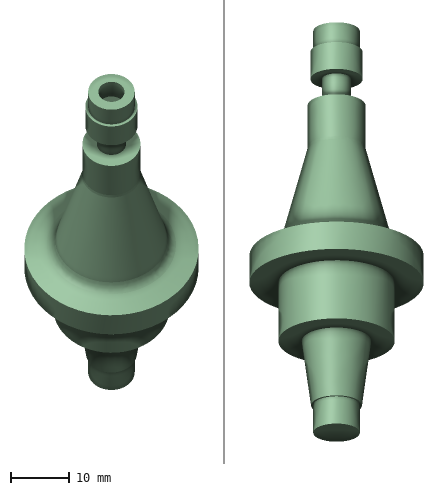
import cadquery as cq
import math

tail_d = 8.0
taper_small_d = 8.8
taper_large_d = 12
body_d = 20.0
flange_d = 30
sleeve_d = 10.0
neck_d = 5.0
collar_d = 9
head_d = 8.0

total_height = 75
tail_height = 5.1
taper_height = 12
body_height = 10.9
flange_height = 5.1
sleeve_height = 8.1
neck_height = 4.95
collar_height = 5.0
head_height = 3.9

slope_angle = 15
blend_radius = 2.0

bore_d = 4.5
bore_depth = head_height

taper_bottom = tail_height
body_bottom = taper_bottom + taper_height
flange_bottom = body_bottom + body_height
flange_edge = flange_bottom + flange_height
head_bottom = total_height - head_height
collar_bottom = head_bottom - collar_height
sleeve_top = collar_bottom - neck_height
sleeve_bottom = sleeve_top - sleeve_height

slope = math.tan(math.radians(slope_angle))
flange_r = flange_d / 2
sleeve_r = sleeve_d / 2
cone_rise = sleeve_bottom - flange_edge
cone_foot_r = (sleeve_r + slope * (cone_rise - slope * flange_r)) / (1 - slope**2)
cone_foot = flange_edge + slope * (flange_r - cone_foot_r)


def make_turned_body():
    """Revolve the half outline about the Z axis."""
    outline = [
        (0, 0),
        (tail_d / 2, 0),
        (tail_d / 2, taper_bottom),
        (taper_small_d / 2, taper_bottom),
        (taper_large_d / 2, body_bottom),
        (body_d / 2, body_bottom),
        (body_d / 2, flange_bottom),
        (flange_r, flange_bottom),
        (flange_r, flange_edge),
        (cone_foot_r, cone_foot),
        (sleeve_r, sleeve_bottom),
        (sleeve_r, sleeve_top),
        (neck_d / 2, sleeve_top),
        (neck_d / 2, collar_bottom),
        (collar_d / 2, collar_bottom),
        (collar_d / 2, head_bottom),
        (head_d / 2, head_bottom),
        (head_d / 2, total_height),
        (0, total_height),
    ]
    return cq.Workplane("XZ").polyline(outline).close().revolve(360, (0, 0), (0, 1))


def circle_edge(radius, level):
    """Select the circular edge of the given radius at the given level."""
    tolerance = 0.01
    reach = radius + tolerance
    return cq.selectors.BoxSelector(
        (-reach, -reach, level - tolerance),
        (reach, reach, level + tolerance),
        boundingbox=True,
    )


def blend_cone(body):
    """Round the cone into the flange top and into the sleeve."""
    body = body.edges(circle_edge(cone_foot_r, cone_foot)).fillet(blend_radius)
    return body.edges(circle_edge(sleeve_r, sleeve_bottom)).fillet(blend_radius)


def cut_bore(body):
    """Cut the blind bore down from the top face."""
    bore = cq.Workplane("XY", origin=(0, 0, total_height)).circle(bore_d / 2).extrude(-bore_depth)
    return body.cut(bore)


result = cut_bore(blend_cone(make_turned_body()))